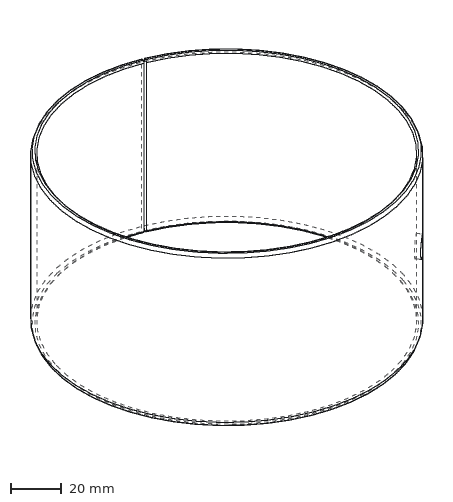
import cadquery as cq
import math

outer_diameter = 155.0
wall = 2.5
height = 80.0
outer_radius = outer_diameter / 2
inner_radius = outer_radius - wall

outer_bevel_height = 1.9
outer_bevel_depth = 0.6
inner_bevel_height = 1.0
inner_bevel_depth = 0.8

split_width = 1.1
split_offset = split_width / 2

hole_diameter = 10.0
hole_angle = 59.0


def bevelled_ring():
    """Revolve the wall section about the Z axis."""
    top = height / 2
    section = [
        (inner_radius, top - inner_bevel_height),
        (inner_radius + inner_bevel_depth, top),
        (outer_radius - outer_bevel_depth, top),
        (outer_radius, top - outer_bevel_height),
    ]
    lower_section = [(radius, -z) for radius, z in reversed(section)]
    return cq.Workplane("XZ").polyline(section + lower_section).close().revolve(360, (0, 0), (0, 1))


def split_cutter():
    """Thin full-height slab that opens the ring on the -X side."""
    slab = cq.Workplane("XY").box(2 * wall, split_width, height)
    return slab.translate((wall / 2 - outer_radius, split_offset, 0))


def hole_cutter():
    """Cylinder from the axis outwards along the hole direction."""
    angle = math.radians(hole_angle)
    direction = cq.Vector(math.cos(angle), math.sin(angle), 0)
    return cq.Solid.makeCylinder(hole_diameter / 2, outer_diameter, cq.Vector(0, 0, 0), direction)


result = bevelled_ring().cut(split_cutter()).cut(cq.Workplane(hole_cutter()))